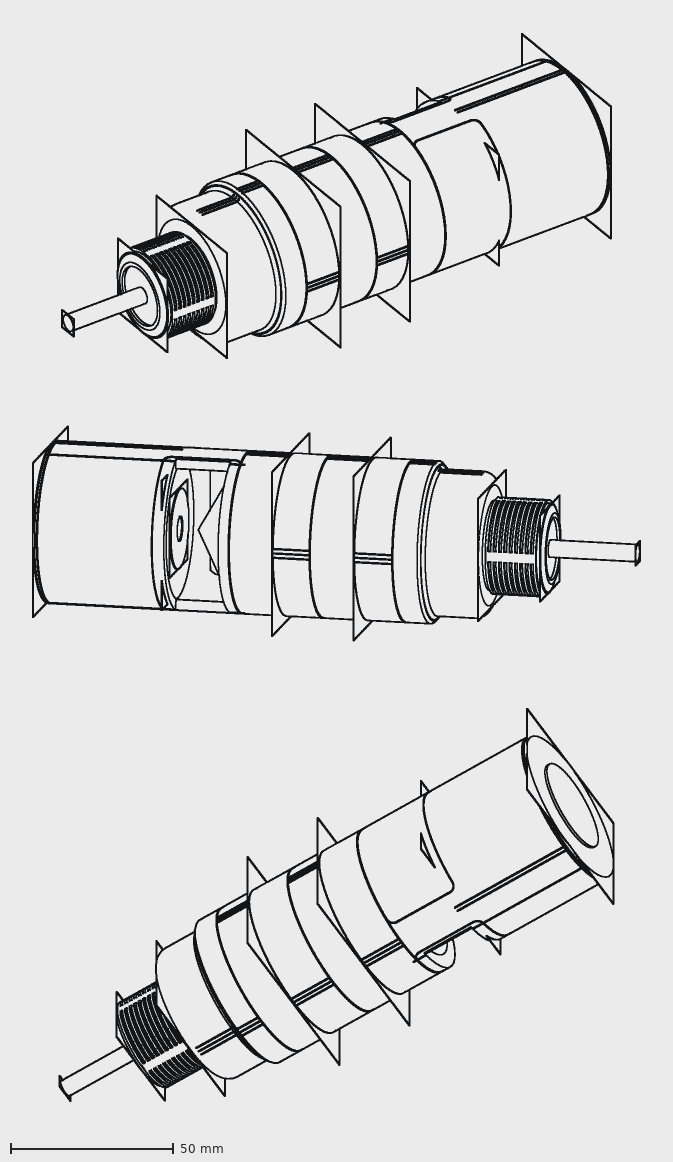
import cadquery as cq
import math

LENGTH = 186.7
BODY_RADIUS = 25.2
CLEARANCE = 1.9

CAP_RADIUS = 14.5
HEAD_START = 0.7
HEAD_CHAMFER = 0.7
CHAMBER_RADIUS = 21.8
CHAMBER_CEILING = 41.3
MOUTH_START = 42.4
MOUTH_END = 59.5
MOUTH_EDGE_X = -8.8
EDGE_RADIUS = 1.59
CONE_APEX = 47.6
CONE_RADIUS = 20.7
DEFLECTOR_TOP = 48.2
DEFLECTOR_TOP_X = 14.5
DEFLECTOR_FOOT_X = 7.8
DEFLECTOR_HALF_WIDTH = 17.2
SOUNDER_RADIUS = 12.5
SOUNDER_BORE_RADIUS = 4.0
SOUNDER_HEIGHT = 0.5

WINDOW_START = 38.5
WINDOW_END = 63.0
WINDOW_EDGE_X = 6.3
WINDOW_ROUND = 2.5
WINDOW_LINE = 0.2

HEAD_RING = 2.2
SEAM_END = 64.2

MODULE_STARTS = [63.0, 76.7, 88.5, 102.5, 114.6]
GROOVED_JOINTS = [HEAD_RING, MODULE_STARTS[0], MODULE_STARTS[2], MODULE_STARTS[4]]
JOINT_WIDTH = 0.28
MARK_DEPTH = 0.2
MARK_LINE = 0.22
MARK_GAP = 0.4
MARK_SPACING = 1.4

BODY_END = 123.5
BODY_END_CHAMFER = 1.0
NECK_RADIUS = 22.8
NECK_END = 140.4
NECK_ROOT_CHAMFER = 1.1
NECK_ROUND = 4.1
THREAD_ROOT_RADIUS = 14.0
THREAD_CREST_RADIUS = 15.03
THREAD_START = 141.7
THREAD_PITCH = 1.7
THREAD_COUNT = 10
KEY_WIDTH = 3.4
KEY_HEIGHT = 14.8
STUB_END = 158.7
NOSE_END = 159.8
NOSE_TIP_RADIUS = 11.0
NOSE_BORE_RADIUS = 9.7
CABLE_RADIUS = 2.7

SHEET_THICKNESS = 0.2
SHEETS = [
    (HEAD_START, 24.5, 24.5),
    (CHAMBER_CEILING - SHEET_THICKNESS, 22.5, 20.5),
    (CHAMBER_CEILING, 12.7, 12.7),
    (MODULE_STARTS[1], 26.05, 26.05),
    (MODULE_STARTS[3], 26.05, 26.05),
    (NECK_END, 19.5, 19.5),
    (STUB_END, 13.6, 13.6),
    (LENGTH - SHEET_THICKNESS, 3.2, 3.2),
]


def along_y(station):
    """Y coordinate of a station; the part is centred on the origin."""
    return LENGTH / 2 - station


def revolved(profile):
    """Solid of revolution about Y from (radius, station) points."""
    points = [(radius, along_y(station)) for radius, station in profile]
    return cq.Workplane("XY").polyline(points).close().revolve(360, (0, 0, 0), (0, 1, 0))


def cylinder(radius, start, end):
    return revolved([(0, start), (radius, start), (radius, end), (0, end)])


def ring(inner, outer, start, end):
    return revolved([(inner, start), (outer, start), (outer, end), (inner, end)])


def block(x_min, x_max, start, end, z_min, z_max):
    size = (x_max - x_min, end - start, z_max - z_min)
    return cq.Workplane("XY").box(*size, centered=False).translate((x_min, along_y(end), z_min))


def make_body():
    body = revolved([
        (0, HEAD_START),
        (BODY_RADIUS - HEAD_CHAMFER, HEAD_START),
        (BODY_RADIUS, HEAD_START + HEAD_CHAMFER),
        (BODY_RADIUS, BODY_END - BODY_END_CHAMFER),
        (BODY_RADIUS - BODY_END_CHAMFER, BODY_END),
        (0, BODY_END),
    ])
    neck = cylinder(NECK_RADIUS, BODY_END, NECK_END).faces("<Y").edges().fillet(NECK_ROUND)
    root = revolved([
        (0, BODY_END),
        (NECK_RADIUS + NECK_ROOT_CHAMFER, BODY_END),
        (NECK_RADIUS, BODY_END + NECK_ROOT_CHAMFER),
        (0, BODY_END + NECK_ROOT_CHAMFER),
    ])
    cap = cylinder(CAP_RADIUS, 0, HEAD_START)
    return body.union(neck).union(root).union(cap)


def cut_chamber(body):
    body = body.cut(cylinder(CHAMBER_RADIUS, CHAMBER_CEILING, MOUTH_END))
    wall_middle = (BODY_RADIUS + CHAMBER_RADIUS) / 2
    edge_x = MOUTH_EDGE_X + EDGE_RADIUS
    edge_z = math.sqrt(wall_middle**2 - edge_x**2)
    reach = 2 * BODY_RADIUS
    mouth = (
        cq.Workplane("XZ", origin=(0, along_y(MOUTH_START), 0))
        .polyline([
            (0, 0),
            (2 * edge_x, 2 * edge_z),
            (-reach, 2 * edge_z),
            (-reach, -2 * edge_z),
            (2 * edge_x, -2 * edge_z),
        ])
        .close()
        .extrude(MOUTH_END - MOUTH_START)
    )
    body = body.cut(mouth)
    for side in (-1, 1):
        rounded_edge = cylinder(EDGE_RADIUS, MOUTH_START, MOUTH_END)
        body = body.union(rounded_edge.translate((edge_x, 0, side * edge_z)))
    cone = revolved([(0, CONE_APEX), (CONE_RADIUS, MOUTH_END), (0, MOUTH_END)])
    deflector = (
        cq.Workplane("XY")
        .polyline([
            (DEFLECTOR_TOP_X, along_y(DEFLECTOR_TOP)),
            (CHAMBER_RADIUS, along_y(DEFLECTOR_TOP)),
            (CHAMBER_RADIUS, along_y(MOUTH_END)),
            (DEFLECTOR_FOOT_X, along_y(MOUTH_END)),
        ])
        .close()
        .extrude(DEFLECTOR_HALF_WIDTH, both=True)
        .intersect(cylinder(CHAMBER_RADIUS, DEFLECTOR_TOP, MOUTH_END))
    )
    sounder = ring(
        SOUNDER_BORE_RADIUS, SOUNDER_RADIUS, CHAMBER_CEILING, CHAMBER_CEILING + SOUNDER_HEIGHT
    )
    return body.union(cone).union(deflector).union(sounder)


def window_outline():
    """Fine line engraved around the +X window."""
    def frame(inset):
        return (
            block(
                WINDOW_EDGE_X + inset, 2 * BODY_RADIUS - inset,
                WINDOW_START + inset, WINDOW_END - inset,
                -BODY_RADIUS, BODY_RADIUS,
            )
            .edges("|Z and <X")
            .fillet(WINDOW_ROUND - inset)
        )

    line = frame(0).cut(frame(WINDOW_LINE))
    skin = ring(BODY_RADIUS - MARK_DEPTH, BODY_RADIUS + CLEARANCE, WINDOW_START, WINDOW_END)
    return line.intersect(skin)


def make_joint(station):
    half = JOINT_WIDTH / 2
    return ring(BODY_RADIUS - MARK_DEPTH, BODY_RADIUS + CLEARANCE, station - half, station + half)


def axial_line(x, radius, start, end):
    """Fine groove along the axis at the given X, on the +Z and -Z sides."""
    half = MARK_LINE / 2
    line = block(x - half, x + half, start, end, -radius - CLEARANCE, radius + CLEARANCE)
    return line.intersect(ring(radius - MARK_DEPTH, radius + CLEARANCE, start, end))


def head_seams():
    seam = axial_line(MOUTH_EDGE_X, BODY_RADIUS, HEAD_RING, SEAM_END)
    for x in (0, MARK_SPACING):
        seam = seam.add(axial_line(x, BODY_RADIUS, HEAD_RING, MOUTH_START))
    return seam.combine()


def alignment_marks(radius, start, end, angle):
    """Three fine grooves along the axis on two opposite sides, turned about Y."""
    marks = cq.Workplane("XY")
    for side in (-1, 0, 1):
        x = side * MARK_SPACING
        marks = marks.add(axial_line(x, radius, start + MARK_GAP, end - MARK_GAP))
    return marks.combine().rotate((0, 0, 0), (0, 1, 0), angle)


def make_stub():
    stub = revolved([
        (0, NECK_END),
        (THREAD_ROOT_RADIUS, NECK_END),
        (THREAD_ROOT_RADIUS, STUB_END),
        (NOSE_TIP_RADIUS, NOSE_END),
        (NOSE_BORE_RADIUS, NOSE_END),
        (NOSE_BORE_RADIUS, STUB_END),
        (0, STUB_END),
    ])
    for turn in range(THREAD_COUNT):
        start = THREAD_START + turn * THREAD_PITCH
        stub = stub.union(ring(0, THREAD_CREST_RADIUS, start, start + THREAD_PITCH / 2))
    thread_end = THREAD_START + THREAD_COUNT * THREAD_PITCH - THREAD_PITCH / 2
    key = block(-KEY_WIDTH / 2, KEY_WIDTH / 2, THREAD_START, thread_end, -KEY_HEIGHT, KEY_HEIGHT)
    flats = block(-KEY_HEIGHT, KEY_HEIGHT, NECK_END, NOSE_END, -KEY_HEIGHT, KEY_HEIGHT)
    stub = stub.union(key).union(key.rotate((0, 0, 0), (0, 1, 0), 90))
    return stub.intersect(flats)


def make_sheet(station, half_x, half_z):
    return block(-half_x, half_x, station, station + SHEET_THICKNESS, -half_z, half_z)


tower = cut_chamber(make_body())
tower = tower.cut(head_seams())
tower = tower.cut(window_outline())
tower = tower.cut(window_outline().mirror("YZ"))
for joint in GROOVED_JOINTS:
    tower = tower.cut(make_joint(joint))
module_ends = MODULE_STARTS[1:] + [BODY_END]
for index, (start, end) in enumerate(zip(MODULE_STARTS, module_ends)):
    tower = tower.cut(alignment_marks(BODY_RADIUS, start, end, 90 * (index % 2)))
tower = tower.cut(alignment_marks(NECK_RADIUS, BODY_END, NECK_END, 0))
tower = tower.union(make_stub())
tower = tower.union(cylinder(CABLE_RADIUS, STUB_END, LENGTH))
for station, half_x, half_z in SHEETS:
    tower = tower.union(make_sheet(station, half_x, half_z))

result = tower